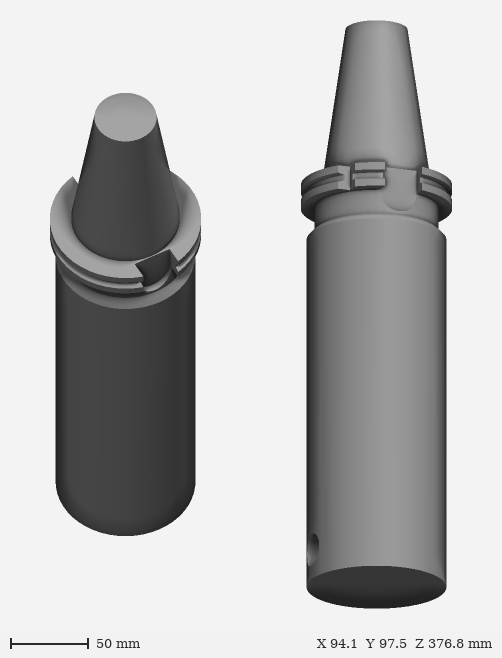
import cadquery as cq

total_height = 376.8
body_diameter = 90.0
neck_diameter = 80.0
flange_diameter = 97.5
taper_large_diameter = 69.7
taper_ratio = 7 / 24

gauge_z = 275.0
flange_top_z = 271.5
flange_bottom_z = 256.0
neck_bottom_z = 240.0

groove_z = 263.7
groove_root_diameter = 91.0
groove_root_width = 3.8
groove_mouth_width = 6.0

keyway_width = 25.5
keyway_end_z = 242.3
left_keyway_floor_x = -37.5
right_keyway_floor_x = 35.5

notch_corner_x = -30.0
notch_corner_y = 30.0

side_hole_diameter = 21.0
side_hole_z = 20.0
side_hole_depth = 10.5


def revolved_holder():
    """Body, neck, grooved flange and taper turned as one profile (radius, height)."""
    body_radius = body_diameter / 2
    neck_radius = neck_diameter / 2
    flange_radius = flange_diameter / 2
    groove_root_radius = groove_root_diameter / 2
    taper_large_radius = taper_large_diameter / 2
    taper_small_radius = taper_large_radius - taper_ratio * (total_height - gauge_z) / 2
    shoulder_z = neck_bottom_z - (body_radius - neck_radius)
    profile = [
        (0, 0),
        (body_radius, 0),
        (body_radius, shoulder_z),
        (neck_radius, neck_bottom_z),
        (neck_radius, flange_bottom_z),
        (flange_radius, flange_bottom_z),
        (flange_radius, groove_z - groove_mouth_width / 2),
        (groove_root_radius, groove_z - groove_root_width / 2),
        (groove_root_radius, groove_z + groove_root_width / 2),
        (flange_radius, groove_z + groove_mouth_width / 2),
        (flange_radius, flange_top_z),
        (taper_large_radius, flange_top_z),
        (taper_large_radius, gauge_z),
        (taper_small_radius, total_height),
        (0, total_height),
    ]
    return cq.Workplane("XZ").polyline(profile).close().revolve(360, (0, 0), (0, 1))


def keyway_cutter(floor_x):
    """Round-ended slot running outward from its flat floor, open at the flange top."""
    end_radius = keyway_width / 2
    arc_center_z = keyway_end_z + end_radius
    outward_length = flange_diameter if floor_x > 0 else -flange_diameter
    return (
        cq.Workplane("YZ", origin=(floor_x, 0, 0))
        .moveTo(-end_radius, flange_top_z)
        .lineTo(-end_radius, arc_center_z)
        .threePointArc((0, keyway_end_z), (end_radius, arc_center_z))
        .lineTo(end_radius, flange_top_z)
        .close()
        .extrude(outward_length)
    )


def notch_cutter():
    """Block that removes the flange rim outside the notch corner."""
    size = flange_diameter / 2
    return (
        cq.Workplane("XY", origin=(notch_corner_x, notch_corner_y, flange_bottom_z))
        .rect(-size, size, centered=False)
        .extrude(flange_top_z - flange_bottom_z)
    )


def side_hole_cutter():
    """Radial cylinder from the hole floor out through the +Y side of the body."""
    floor_y = body_diameter / 2 - side_hole_depth
    return (
        cq.Workplane("XZ", origin=(0, floor_y, side_hole_z))
        .circle(side_hole_diameter / 2)
        .extrude(-body_diameter)
    )


result = revolved_holder()
for keyway_floor_x in (left_keyway_floor_x, right_keyway_floor_x):
    result = result.cut(keyway_cutter(keyway_floor_x))
result = result.cut(notch_cutter())
result = result.cut(side_hole_cutter())